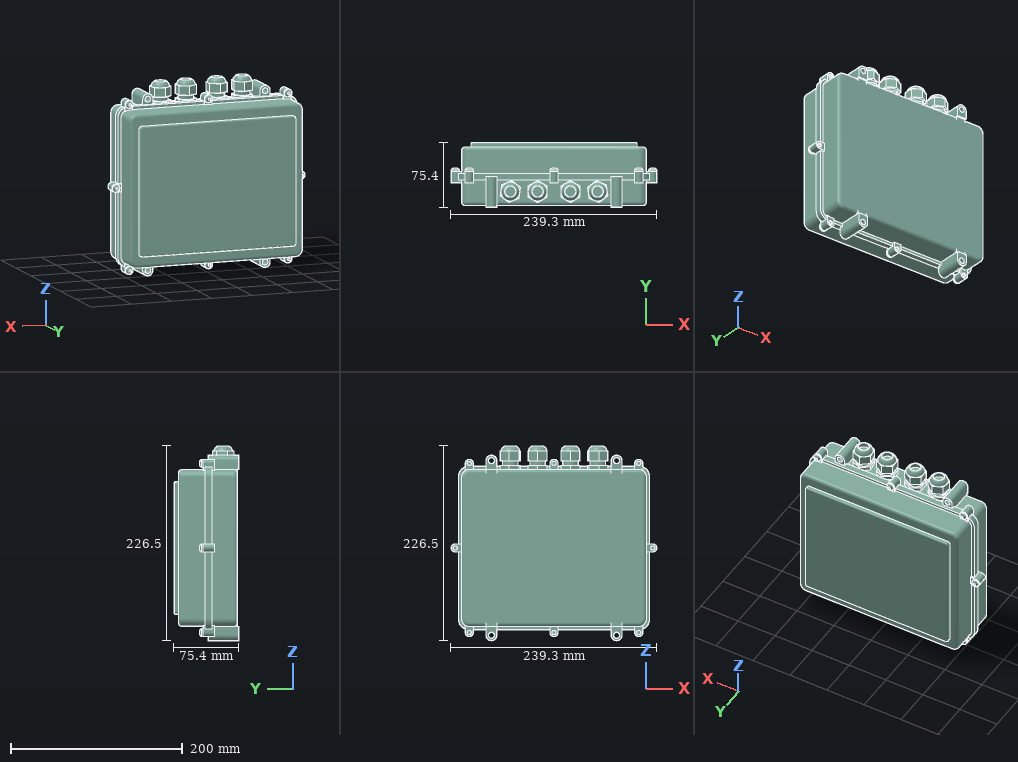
import cadquery as cq
import math

BODY_WIDTH = 214.9
BODY_HEIGHT = 182.7
BODY_DEPTH = 68.4
BODY_CORNER_RADIUS = 8.9
BODY_EDGE_FILLET = 4.06

FLANGE_OVERHANG = 3.9
FLANGE_FRONT_Y = 29.6
FLANGE_THICKNESS = 8.0
FLANGE_CORNER_RADIUS = BODY_CORNER_RADIUS + FLANGE_OVERHANG
FLANGE_WIDTH = BODY_WIDTH + 2 * FLANGE_OVERHANG
FLANGE_HEIGHT = BODY_HEIGHT + 2 * FLANGE_OVERHANG

PANEL_WIDTH = 193.4
PANEL_HEIGHT = 154.6
PANEL_CORNER_RADIUS = 3.5
PANEL_EDGE_FILLET = 1.9

LUG_WIDTH = 12.7
LUG_SPAN_Z = 215.9
LUG_X = 72.8
LUG_DEPTH = 35.8
LUG_FRONT_STANDOFF = 1.9
LUG_HOLE_DIAMETER = 6.75
LUG_RADIUS = LUG_WIDTH / 2
LUG_AXIS_Z = LUG_SPAN_Z / 2 - LUG_RADIUS

OVERALL_DEPTH = 75.44
PANEL_THICKNESS = OVERALL_DEPTH - LUG_FRONT_STANDOFF - BODY_DEPTH

BOSS_DIAMETER = 9.525
BOSS_SPAN_X = 239.32
BOSS_SPAN_Z = 206.3
BOSS_FRONT_Y = 26.5
BOSS_DEPTH = 13.3
BOSS_HOLE_DIAMETER = 4.83
BOSS_HOLE_DEPTH = 1.5
SIDE_BOSS_OVERLAP = 1.0
BOSS_RADIUS = BOSS_DIAMETER / 2
BOSS_AXIS_X = BOSS_SPAN_X / 2 - BOSS_RADIUS
BOSS_AXIS_Z = BOSS_SPAN_Z / 2 - BOSS_RADIUS
BOSS_BACK_Y = BOSS_FRONT_Y + BOSS_DEPTH
CORNER_BOSS_X = FLANGE_WIDTH / 2 - FLANGE_CORNER_RADIUS

HEAD_DIAMETER = 9.47
HEAD_RIM_HEIGHT = 1.7
HEAD_DOME_HEIGHT = 2.6
HEAD_TOP_RADIUS = 1.5
HEAD_DOME_BULGE = 0.5

GLAND_TOP_Z = 118.6
GLAND_Y = 16.4
GLAND_ACROSS_FLATS = 22.0
GLAND_DOME_DIAMETER = 22.0
GLAND_DOME_HEIGHT = 6.1
GLAND_RIM_DIAMETER = 13.2
GLAND_DOME_BULGE = 0.95
GLAND_NUT_HEIGHT = 11.3
GLAND_NECK_DIAMETER = 18.29
GLAND_BASE_HEIGHT = 4.7
GLAND_BORE_DIAMETER = 12.7
GLAND_BORE_DEPTH = 6.0
GLAND_PLACES = [(-50.8, -8), (-19.05, 0), (19.05, 0), (50.8, 8)]


def plate(width, height, corner_radius, front_y, depth):
    """Rectangular slab with rounded corners, extending from front_y toward +Y."""
    slab = cq.Workplane("XY").box(width, depth, height, centered=(True, False, True))
    return slab.edges("|Y").fillet(corner_radius).translate((0, front_y, 0))


def cylinder_y(radius, x, z, front_y, depth):
    """Cylinder with its axis along Y."""
    return cq.Workplane(cq.Solid.makeCylinder(radius, depth, cq.Vector(x, front_y, z), cq.Vector(0, 1, 0)))


def block(x_min, x_max, y_min, y_max, z_min, z_max):
    """Axis-aligned box between two corners."""
    box = cq.Workplane("XY").box(x_max - x_min, y_max - y_min, z_max - z_min, centered=False)
    return box.translate((x_min, y_min, z_min))


def make_body():
    body = plate(BODY_WIDTH, BODY_HEIGHT, BODY_CORNER_RADIUS, 0, BODY_DEPTH)
    return body.faces("<Y or >Y").edges().fillet(BODY_EDGE_FILLET)


def make_flange():
    return plate(FLANGE_WIDTH, FLANGE_HEIGHT, FLANGE_CORNER_RADIUS, FLANGE_FRONT_Y, FLANGE_THICKNESS)


def make_panel():
    panel = plate(PANEL_WIDTH, PANEL_HEIGHT, PANEL_CORNER_RADIUS, BODY_DEPTH, PANEL_THICKNESS)
    return panel.faces(">Y").edges().fillet(PANEL_EDGE_FILLET)


def make_top_lug(x):
    """Lug on the top wall; its root fills the body's front edge fillet."""
    wall_z = BODY_HEIGHT / 2
    back_y = LUG_DEPTH - LUG_FRONT_STANDOFF
    left, right = x - LUG_RADIUS, x + LUG_RADIUS
    lug = block(left, right, -LUG_FRONT_STANDOFF, back_y, wall_z, LUG_AXIS_Z)
    lug = lug.union(cylinder_y(LUG_RADIUS, x, LUG_AXIS_Z, -LUG_FRONT_STANDOFF, LUG_DEPTH))
    lug = lug.union(block(left, right, 0, back_y, wall_z - BODY_EDGE_FILLET, wall_z))
    return lug.cut(cylinder_y(LUG_HOLE_DIAMETER / 2, x, LUG_AXIS_Z, -LUG_FRONT_STANDOFF, LUG_DEPTH))


def make_screw_head():
    """Screw head pointing along +Y from the origin: a short rim topped by a dome."""
    head_radius = HEAD_DIAMETER / 2
    top_y = HEAD_RIM_HEIGHT + HEAD_DOME_HEIGHT
    profile = (
        cq.Workplane("XY")
        .lineTo(head_radius, 0)
        .lineTo(head_radius, HEAD_RIM_HEIGHT)
        .sagittaArc((HEAD_TOP_RADIUS, top_y), -HEAD_DOME_BULGE)
        .lineTo(0, top_y)
        .close()
    )
    return profile.revolve(360, (0, 0, 0), (0, 1, 0))


def make_boss(x, z, root_depth):
    """Upright boss at the top: post with a rounded end, a shallow hole and a screw head."""
    boss = block(x - BOSS_RADIUS, x + BOSS_RADIUS, BOSS_FRONT_Y, BOSS_BACK_Y, z - root_depth, z)
    boss = boss.union(cylinder_y(BOSS_RADIUS, x, z, BOSS_FRONT_Y, BOSS_DEPTH))
    boss = boss.cut(cylinder_y(BOSS_HOLE_DIAMETER / 2, x, z, BOSS_FRONT_Y, BOSS_HOLE_DEPTH))
    return boss.union(make_screw_head().translate((x, BOSS_BACK_Y, z)))


def hexagon(height, turn):
    """Hexagonal prism standing on Z = 0, a vertex toward +Y when turn is zero."""
    circumscribed = GLAND_ACROSS_FLATS / math.cos(math.pi / 6)
    prism = cq.Workplane("XY").polygon(6, circumscribed).extrude(height)
    return prism.rotate((0, 0, 0), (0, 0, 1), 90 + turn)


def make_gland(x, turn):
    """Cable gland: base hexagon, round neck, hexagonal nut and a domed, bored cap."""
    wall_z = BODY_HEIGHT / 2
    dome_z = GLAND_TOP_Z - GLAND_DOME_HEIGHT
    nut_z = dome_z - GLAND_NUT_HEIGHT
    dome_radius = GLAND_DOME_DIAMETER / 2
    rim_radius = GLAND_RIM_DIAMETER / 2
    bore_radius = GLAND_BORE_DIAMETER / 2

    base = hexagon(GLAND_BASE_HEIGHT, turn).translate((0, 0, wall_z))
    neck = cq.Workplane("XY").workplane(offset=wall_z).circle(GLAND_NECK_DIAMETER / 2).extrude(nut_z - wall_z)
    nut = hexagon(GLAND_NUT_HEIGHT, turn).translate((0, 0, nut_z))
    dome = (
        cq.Workplane("XZ")
        .moveTo(0, dome_z)
        .lineTo(dome_radius, dome_z)
        .sagittaArc((rim_radius, GLAND_TOP_Z), -GLAND_DOME_BULGE)
        .lineTo(0, GLAND_TOP_Z)
        .close()
        .revolve(360, (0, 0, 0), (0, 1, 0))
    )
    bore = cq.Workplane("XY").workplane(offset=GLAND_TOP_Z).circle(bore_radius).extrude(-GLAND_BORE_DEPTH)
    gland = base.union(neck).union(nut).union(dome).cut(bore)
    return gland.translate((x, GLAND_Y, 0))


def both_ends(feature):
    """The feature together with its mirror image below the XY plane."""
    return [feature, feature.mirror("XY")]


result = make_body()
result = result.union(make_flange())
result = result.union(make_panel())

for lug_x in (-LUG_X, LUG_X):
    for lug in both_ends(make_top_lug(lug_x)):
        result = result.union(lug)

upright_root_depth = BOSS_AXIS_Z - BODY_HEIGHT / 2 + BODY_CORNER_RADIUS
for boss_x in (-CORNER_BOSS_X, 0, CORNER_BOSS_X):
    for boss in both_ends(make_boss(boss_x, BOSS_AXIS_Z, upright_root_depth)):
        result = result.union(boss)

side_root_depth = BOSS_AXIS_X - BODY_WIDTH / 2 + SIDE_BOSS_OVERLAP
side_boss = make_boss(0, BOSS_AXIS_X, side_root_depth)
for side_angle in (-90, 90):
    result = result.union(side_boss.rotate((0, 0, 0), (0, 1, 0), side_angle))

for gland_x, gland_turn in GLAND_PLACES:
    result = result.union(make_gland(gland_x, gland_turn))